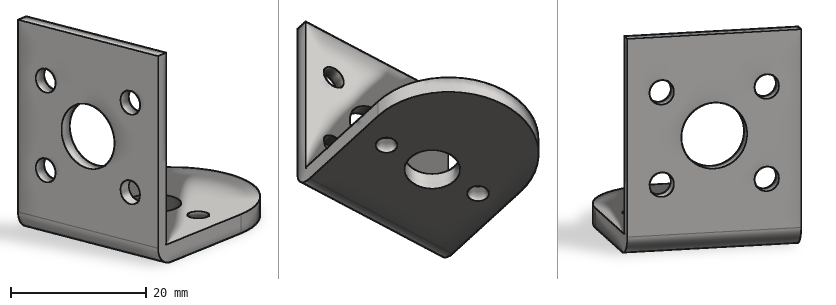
import cadquery as cq

width = 26.5
height = 33.0
length = 32.84
base_thickness = 3.0
wall_thickness = 2.0
bend_radius = 3.0
end_radius = width / 2

wall_bore_diameter = 10.0
wall_bore_height = 17.6
wall_screw_diameter = 3.7
wall_screw_spacing_x = 16.0
wall_screw_spacing_z = 14.0

base_bore_diameter = 8.2
base_hole_distance = 15.5
base_screw_diameter = 3.2
base_screw_spacing = 17.0


def make_base():
    """Base plate with a full-round rear end."""
    return (
        cq.Workplane("XY")
        .moveTo(-width / 2, 0)
        .lineTo(width / 2, 0)
        .lineTo(width / 2, length - end_radius)
        .threePointArc((0, length), (-width / 2, length - end_radius))
        .close()
        .extrude(base_thickness)
    )


def make_wall():
    """Upright wall along the front edge of the base."""
    return cq.Workplane("XY").box(width, wall_thickness, height, centered=(True, False, False))


def round_bend(body):
    """Round the outer lower edge where the base meets the wall."""
    return body.faces("<Z").edges("<Y").fillet(bend_radius)


def wall_hole_cutter():
    """Central bore and four screw holes, along Y through the wall."""
    plane = cq.Workplane("XZ").center(0, wall_bore_height)
    bore = plane.circle(wall_bore_diameter / 2).extrude(-wall_thickness)
    screws = (
        plane.rect(wall_screw_spacing_x, wall_screw_spacing_z, forConstruction=True)
        .vertices()
        .circle(wall_screw_diameter / 2)
        .extrude(-wall_thickness)
    )
    return bore.union(screws)


def base_hole_cutter():
    """Central bore with a screw hole on each side, along Z through the base."""
    plane = cq.Workplane("XY").center(0, base_hole_distance)
    bore = plane.circle(base_bore_diameter / 2).extrude(base_thickness)
    screws = (
        plane.pushPoints([(-base_screw_spacing / 2, 0), (base_screw_spacing / 2, 0)])
        .circle(base_screw_diameter / 2)
        .extrude(base_thickness)
    )
    return bore.union(screws)


bracket = round_bend(make_base().union(make_wall()))
result = bracket.cut(wall_hole_cutter()).cut(base_hole_cutter())